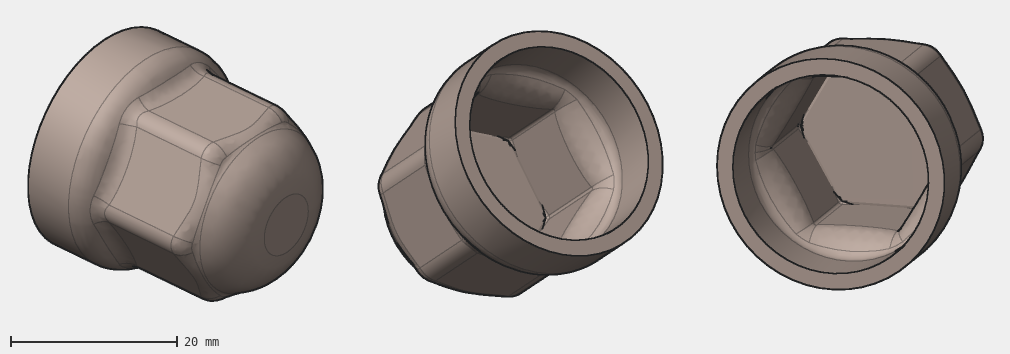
import cadquery as cq
import math

length = 28.8
skirt_diameter = 28.6
bore_diameter = 24.6
skirt_length = 6.48
across_flats = 22.5
tip_flat_diameter = 8.0
hex_end = 23.4

shoulder_radius = 3.75
neck_fillet = 2.5
hex_fillet = 2.5
dome_radius = 7.2
dome_fillet = 1.5

wall = (skirt_diameter - bore_diameter) / 2
mid_hex = (skirt_length + hex_end) / 2

dome_x = length - dome_radius
dome_r = tip_flat_diameter / 2
foot_x = hex_end + dome_fillet
foot_r = dome_r + math.sqrt((dome_radius + dome_fillet) ** 2 - (foot_x - dome_x) ** 2)

joint_angle = math.atan2(foot_r - dome_r, foot_x - dome_x)


def skirt(inset):
    """Round skirt with a rounded shoulder."""
    round_over = shoulder_radius - inset
    return (
        cq.Workplane("YZ")
        .circle(skirt_diameter / 2 - inset)
        .extrude(skirt_length + round_over)
        .faces(">X").edges().fillet(round_over)
    )


def hex_prism(inset):
    """Hexagonal prism with rounded corners and two flats facing +Z and -Z."""
    return (
        cq.Workplane("YZ")
        .transformed(rotate=(0, 0, 30))
        .polygon(6, across_flats - 2 * inset, circumscribed=True)
        .extrude(length)
        .edges("|X").fillet(hex_fillet - inset)
    )


def dome_envelope(inset):
    """Revolved end of the head: a flat tip, the dome and the concave ring at its foot."""
    convex = dome_radius - inset
    concave = dome_fillet + inset

    def on_dome(angle):
        return dome_x + convex * math.cos(angle), dome_r + convex * math.sin(angle)

    def on_foot(angle):
        return foot_x - concave * math.cos(angle), foot_r - concave * math.sin(angle)

    return (
        cq.Workplane("XY")
        .lineTo(0, skirt_diameter)
        .lineTo(foot_x - concave, skirt_diameter)
        .lineTo(*on_foot(0))
        .threePointArc(on_foot(joint_angle / 2), on_foot(joint_angle))
        .threePointArc(on_dome(joint_angle / 2), on_dome(0))
        .lineTo(length - inset, 0)
        .close()
        .revolve(360, (0, 0, 0), (1, 0, 0))
    )


def fillet_flat_ends(body, start, end, radius):
    """Fillet the ends of the hexagon flats lying between two places along X."""
    zone = cq.selectors.BoxSelector((start, -length, -length), (end, length, length))
    return body.faces("#X").edges("not |X").edges(zone).fillet(radius)


def cap(inset):
    """Solid cap shape, inset from the outer surface."""
    head = hex_prism(inset).intersect(dome_envelope(inset))
    head = fillet_flat_ends(head, mid_hex, length, hex_fillet - inset)
    body = skirt(inset).union(head)
    return fillet_flat_ends(body, 0, mid_hex, neck_fillet + inset)


result = cap(0).cut(cap(wall))